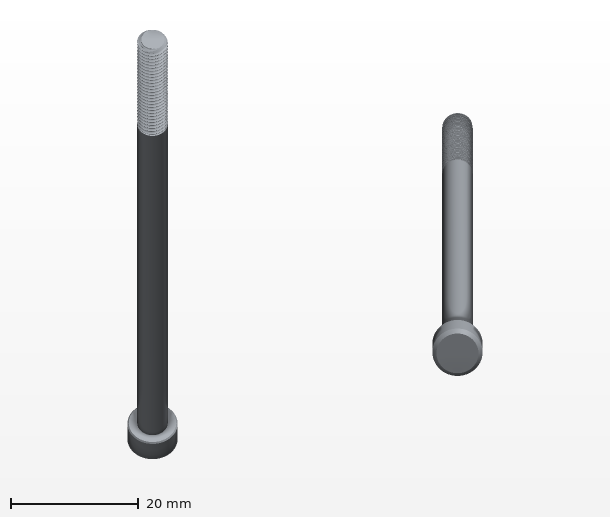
import cadquery as cq
import math

total_length = 106.4
head_diameter = 7.9
shank_diameter = 4.8
head_height = shank_diameter

seat_edge_chamfer = 0.2
end_chamfer_width = 0.6
end_chamfer_height = 0.5

thread_length = 22.2
thread_pitch = 0.8
thread_depth = 0.6
crest_flat = thread_pitch / 8
root_flat = 0.4 * thread_pitch
crest_start_angle = 120
flank_steps = 6
tip_chamfer_width = 0.5
tip_chamfer_height = 0.3

head_radius = head_diameter / 2
shank_radius = shank_diameter / 2
root_radius = shank_radius - thread_depth
thread_start = total_length - thread_length


def make_head_and_shank():
    """Revolve the head and the plain shank about Z."""
    profile = (
        cq.Workplane("XZ")
        .lineTo(head_radius - end_chamfer_width, 0)
        .lineTo(head_radius, end_chamfer_height)
        .lineTo(head_radius, head_height - seat_edge_chamfer)
        .lineTo(head_radius - seat_edge_chamfer, head_height)
        .lineTo(shank_radius, head_height)
        .lineTo(shank_radius, thread_start)
        .lineTo(0, thread_start)
        .close()
    )
    return profile.revolve(360, (0, 0, 0), (0, 1, 0))


def make_thread():
    """Twist the cross-section of a right-hand single-start thread along Z.

    One turn around the section matches one pitch along the thread, so each straight
    flank becomes a spiral between the crest arc and the root arc.
    """
    crest_edge_angle = math.pi * crest_flat / thread_pitch
    root_edge_angle = math.pi * (1 - root_flat / thread_pitch)

    def flank_point(fraction, side):
        """Point at a fraction of the way from crest to root, on side +1 or -1."""
        radius = shank_radius - fraction * thread_depth
        angle = crest_edge_angle + fraction * (root_edge_angle - crest_edge_angle)
        return radius * math.cos(angle), side * radius * math.sin(angle)

    fractions = [i / flank_steps for i in range(flank_steps + 1)]
    falling_flank = [flank_point(fraction, 1) for fraction in fractions]
    rising_flank = [flank_point(fraction, -1) for fraction in reversed(fractions)]
    section = (
        cq.Workplane("XY")
        .moveTo(*rising_flank[-1])
        .threePointArc((shank_radius, 0), falling_flank[0])
        .spline(falling_flank[1:], includeCurrent=True)
        .threePointArc((-root_radius, 0), rising_flank[0])
        .spline(rising_flank[1:], includeCurrent=True)
        .close()
    )
    thread = section.twistExtrude(thread_length, 360 * thread_length / thread_pitch)
    return thread.rotate((0, 0, 0), (0, 0, 1), crest_start_angle).translate((0, 0, thread_start))


def make_tip_cutter():
    """Ring that leaves a cone on the end of the thread."""
    overshoot = 0.5
    slope = tip_chamfer_height / tip_chamfer_width
    profile = cq.Workplane("XZ").polyline([
        (shank_radius - tip_chamfer_width, total_length),
        (shank_radius + overshoot, total_length - tip_chamfer_height - overshoot * slope),
        (shank_radius + overshoot, total_length + overshoot),
        (shank_radius - tip_chamfer_width, total_length + overshoot),
    ]).close()
    return profile.revolve(360, (0, 0, 0), (0, 1, 0))


threaded_end = make_thread().cut(make_tip_cutter())
result = make_head_and_shank().union(threaded_end)